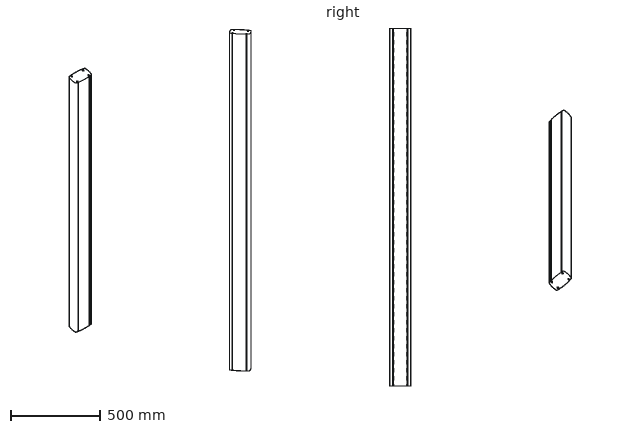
import cadquery as cq
import math

LENGTH = 2000.0
WIDTH = 75.0
DEPTH = 120.0

CORNER_X = 32.0
CORNER_Y = 55.0
CORNER_RADIUS = 5.0

FLAT_HALF_WIDTH = 15.0

BULGE_HALF_WIDTH = 22.0
BULGE_END_Y = 58.0

CHANNEL_DIAMETER = 7.5
CHANNEL_X = 25.0
CHANNEL_Y = 40.0
MOUTH_WIDTH = 5.0


def side_point(y):
    """Point on the arc that peaks at the full width on +X and ends at the corners."""
    rise = WIDTH / 2 - CORNER_X
    radius = (CORNER_Y**2 + rise**2) / (2 * rise)
    return (WIDTH / 2 - radius + math.sqrt(radius**2 - y**2), y)


def mirrored(point):
    """Reflect a point to the -X side."""
    return (-point[0], point[1])


def make_bar():
    """Extrude the bulging outline and round its four corners."""
    middle_y = (CORNER_Y + FLAT_HALF_WIDTH) / 2
    upper_arc = side_point(middle_y)
    lower_arc = side_point(-middle_y)
    flat_top = (WIDTH / 2, FLAT_HALF_WIDTH)
    flat_bottom = (WIDTH / 2, -FLAT_HALF_WIDTH)
    upper_corner = (CORNER_X, CORNER_Y)
    lower_corner = (CORNER_X, -CORNER_Y)
    upper_bulge = (BULGE_HALF_WIDTH, BULGE_END_Y)
    lower_bulge = (BULGE_HALF_WIDTH, -BULGE_END_Y)

    bar = (
        cq.Workplane("XY")
        .moveTo(*lower_corner)
        .threePointArc(lower_arc, flat_bottom)
        .lineTo(*flat_top)
        .threePointArc(upper_arc, upper_corner)
        .lineTo(*upper_bulge)
        .threePointArc((0, DEPTH / 2), mirrored(upper_bulge))
        .lineTo(*mirrored(upper_corner))
        .threePointArc(mirrored(upper_arc), mirrored(flat_top))
        .lineTo(*mirrored(flat_bottom))
        .threePointArc(mirrored(lower_arc), mirrored(lower_corner))
        .lineTo(*mirrored(lower_bulge))
        .threePointArc((0, -DEPTH / 2), lower_bulge)
        .close()
        .extrude(LENGTH)
    )
    for x_sign in (-1, 1):
        for y_sign in (-1, 1):
            corner = (x_sign * CORNER_X, y_sign * CORNER_Y, LENGTH / 2)
            bar = bar.edges(cq.selectors.NearestToPointSelector(corner)).fillet(CORNER_RADIUS)
    return bar


def make_groove(x_sign, y_sign):
    """Cutter for one keyhole groove running the full length of the bar."""
    mouth_depth = WIDTH / 2 - CHANNEL_X
    mouth_x = x_sign * (CHANNEL_X + mouth_depth / 2)
    y = y_sign * CHANNEL_Y
    channel = cq.Workplane("XY").center(x_sign * CHANNEL_X, y).circle(CHANNEL_DIAMETER / 2).extrude(LENGTH)
    mouth = cq.Workplane("XY").center(mouth_x, y).rect(mouth_depth, MOUTH_WIDTH).extrude(LENGTH)
    return channel.union(mouth)


result = make_bar()
for x_sign in (-1, 1):
    for y_sign in (-1, 1):
        result = result.cut(make_groove(x_sign, y_sign))